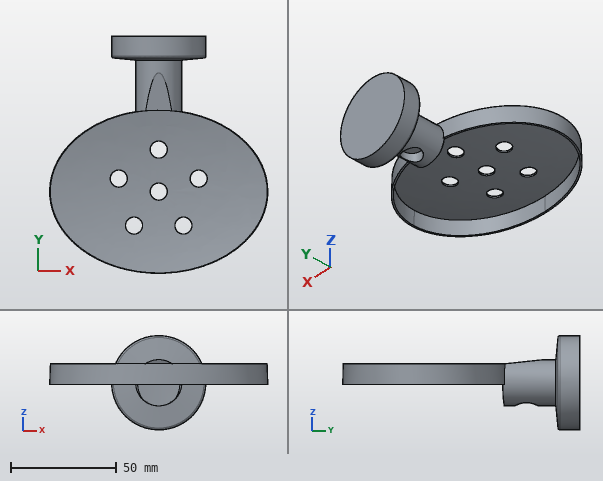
import cadquery as cq
import math


FLANGE_RADIUS = 45.0 / 2
FLANGE_RIM_DEPTH = 10.4
FLANGE_DEPTH = 11.5
FLANGE_FILLET = 1.0

POST_RADIUS = 22.0 / 2
POST_SHOULDER = 36.5
POST_END_SLOPE = 18.0
HOLE_RADIUS = 5.5
HOLE_Y = -25.4
HOLE_DEPTH = 5.5
RAMP_START_Y = -17.5

DISH_LENGTH = 103.9
DISH_WIDTH = 77.9
DISH_HEIGHT = 10.0
DISH_TOP = 9.1
DISH_DRAFT = 1.5
DISH_WALL = 1.0
BOWL_DEPTH = 4.0
TOTAL_DEPTH = 112.9
DRAIN_DIAMETER = 8.0
DRAIN_CIRCLE_RADIUS = 20.0
DRAIN_COUNT = 5

DISH_BOTTOM = DISH_TOP - DISH_HEIGHT
POST_TIP = POST_SHOULDER + POST_RADIUS * math.tan(math.radians(POST_END_SLOPE))
DISH_CENTER_Y = DISH_WIDTH / 2 - TOTAL_DEPTH


def dish_plane(z):
    """Horizontal plane centered on the dish."""
    return cq.Workplane("XY", origin=(0, DISH_CENTER_Y, z))


def make_flange():
    """Disc with a rounded rim and a shallow conical front that ends flat behind the post."""
    profile = [
        (0, 0),
        (FLANGE_RADIUS, 0),
        (FLANGE_RADIUS, -FLANGE_RIM_DEPTH),
        (POST_RADIUS, -FLANGE_DEPTH),
        (0, -FLANGE_DEPTH),
    ]
    flange = cq.Workplane("XY").polyline(profile).close().revolve(360, (0, 0), (0, 1))
    rim = cq.selectors.NearestToPointSelector((0, -FLANGE_RIM_DEPTH, 0))
    return flange.edges(rim).fillet(FLANGE_FILLET)


def make_dish_cavity(bottom, height, taper=DISH_DRAFT):
    """Elliptical space enclosed by the dish wall."""
    inner = dish_plane(bottom).ellipse(DISH_LENGTH / 2 - DISH_WALL, DISH_WIDTH / 2 - DISH_WALL)
    return inner.extrude(height, taper=taper)


def make_dish_blank(hollowed):
    """Solid dish: a round drafted blank with a flat or hollowed top, stretched along X."""
    bottom_radius = DISH_WIDTH / 2
    top_radius = bottom_radius - DISH_HEIGHT * math.tan(math.radians(DISH_DRAFT))
    bowl_radius = (top_radius**2 + BOWL_DEPTH**2) / (2 * BOWL_DEPTH)
    middle_radius = top_radius / 2
    middle_rise = bowl_radius - math.sqrt(bowl_radius**2 - middle_radius**2)
    bowl_floor = DISH_TOP - BOWL_DEPTH

    profile = cq.Workplane("XZ").moveTo(0, DISH_BOTTOM).lineTo(bottom_radius, DISH_BOTTOM)
    profile = profile.lineTo(top_radius, DISH_TOP)
    if hollowed:
        profile = profile.threePointArc((middle_radius, bowl_floor + middle_rise), (0, bowl_floor))
    else:
        profile = profile.lineTo(0, DISH_TOP)
    blank = profile.close().revolve(360, (0, 0), (0, 1)).val()
    stretch = cq.Matrix(
        [
            [DISH_LENGTH / DISH_WIDTH, 0, 0, 0],
            [0, 1, 0, DISH_CENTER_Y],
            [0, 0, 1, 0],
        ]
    )
    return cq.Workplane(blank.transformGeometry(stretch))


def make_dish():
    """Thin elliptical dish with a drafted skirt wall, a bowl-shaped floor and drain holes."""
    blank = make_dish_blank(hollowed=True)
    underside = make_dish_cavity(DISH_BOTTOM, DISH_HEIGHT)
    underside = underside.intersect(blank.translate((0, 0, -DISH_WALL)))
    dish = blank.cut(underside)

    center_drain = dish_plane(DISH_BOTTOM).circle(DRAIN_DIAMETER / 2).extrude(DISH_HEIGHT)
    ring = dish_plane(DISH_BOTTOM).polarArray(DRAIN_CIRCLE_RADIUS, 90, 360, DRAIN_COUNT)
    ring = ring.circle(DRAIN_DIAMETER / 2).extrude(DISH_HEIGHT)
    return dish.cut(center_drain).cut(ring)


def make_ramp_cut():
    """Wedge above the plane that slopes from the top of the post down to the dish edge."""
    dish_back = DISH_CENTER_Y + DISH_WIDTH / 2
    slope = (POST_RADIUS - DISH_TOP) / (RAMP_START_Y - dish_back)
    end_y = -POST_TIP
    end_z = DISH_TOP + slope * (end_y - dish_back)
    wedge = [(RAMP_START_Y, POST_RADIUS), (end_y, POST_RADIUS), (end_y, end_z)]
    return cq.Workplane("YZ").polyline(wedge).close().extrude(POST_RADIUS, both=True)


def make_post():
    """Round post that meets the dish wall and, below it, ends flush with the wall's inner face."""
    profile = [
        (0, -FLANGE_DEPTH),
        (POST_RADIUS, -FLANGE_DEPTH),
        (POST_RADIUS, -POST_SHOULDER),
        (0, -POST_TIP),
    ]
    post = cq.Workplane("XY").polyline(profile).close().revolve(360, (0, 0), (0, 1))

    hole = cq.Workplane("XY", origin=(0, HOLE_Y, -POST_RADIUS))
    hole = hole.circle(HOLE_RADIUS).extrude(HOLE_DEPTH)

    below_dish = make_dish_cavity(-POST_RADIUS, 2 * POST_RADIUS, taper=0)
    post = post.cut(make_ramp_cut()).cut(hole).cut(below_dish)
    return post.cut(make_dish_blank(hollowed=False))


flange = make_flange()
post = make_post()
dish = make_dish()
result = cq.Compound.makeCompound([flange.val(), post.val(), dish.val()])